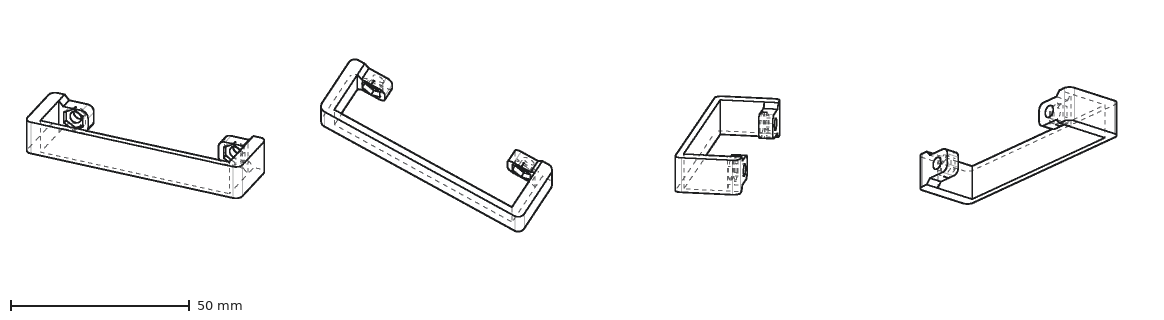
import cadquery as cq
import math

length = 66.0
depth = 18.5
height = 10.0
side_wall = 4.0
front_wall = 2.0
corner_radius = 2.0

tab_length = 9.0
tab_thickness = 4.0
tab_gusset_length = 1.4
tab_gusset_height = 1.5
tab_radius = 2.0

hole_diameter = 3.4
nut_across_flats = 5.8
nut_pocket_depth = 1.5

inner_half_length = length / 2 - side_wall
back_y = depth / 2
tab_front_y = back_y - tab_thickness


def make_frame():
    """U-shaped frame, open at the back, with rounded outer corners."""
    block = cq.Workplane("XY").box(length, depth, height).edges("|Z").fillet(corner_radius)
    opening = (
        cq.Workplane("XY")
        .box(2 * inner_half_length, depth, height)
        .translate((0, front_wall, 0))
    )
    return block.cut(opening)


def make_tab():
    """Right-hand tab, flared to full height at the side wall."""
    tip_x = inner_half_length - tab_length
    flare_x = inner_half_length - tab_gusset_length
    wall_z = height / 2
    tab_z = wall_z - tab_gusset_height
    center_x = inner_half_length - tab_length / 2

    tab = (
        cq.Workplane("XZ", origin=(0, back_y, 0))
        .polyline([
            (inner_half_length, wall_z),
            (flare_x, tab_z),
            (tip_x, tab_z),
            (tip_x, -tab_z),
            (flare_x, -tab_z),
            (inner_half_length, -wall_z),
        ])
        .close()
        .extrude(tab_thickness)
        .edges("|Y and <X")
        .fillet(tab_radius)
    )
    hole = (
        cq.Workplane("XZ", origin=(center_x, back_y, 0))
        .circle(hole_diameter / 2)
        .extrude(tab_thickness)
    )
    nut_across_corners = nut_across_flats / math.cos(math.pi / 6)
    nut_pocket = (
        cq.Workplane("XZ", origin=(center_x, tab_front_y, 0))
        .transformed(rotate=(0, 0, 90))
        .polygon(6, nut_across_corners)
        .extrude(-nut_pocket_depth)
    )
    return tab.cut(hole).cut(nut_pocket)


right_tab = make_tab()
left_tab = right_tab.mirror("YZ")
result = make_frame().union(right_tab).union(left_tab)